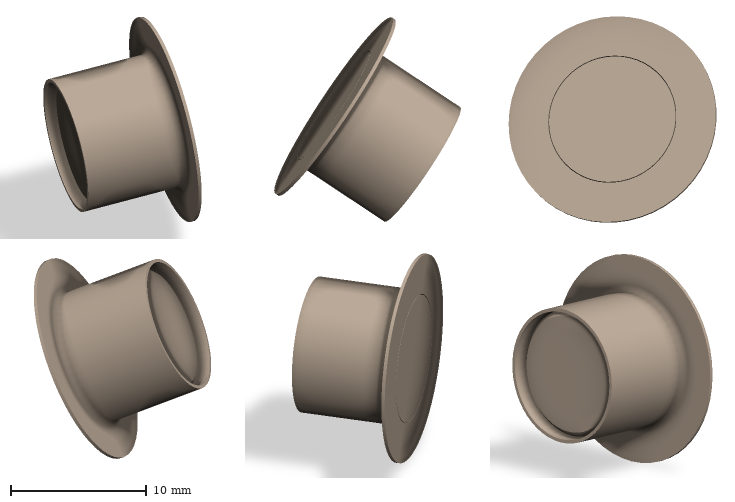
import cadquery as cq

flange_diameter = 15.62
overall_length = 7.92
wall = 0.25
tube_radius = 5.08
bore_radius = tube_radius - wall
root_fillet = 0.5

plug_clearance = 0.06
plug_radius = bore_radius - plug_clearance
plug_recess = 0.8
plug_face_radius = 4.39
plug_taper_length = 0.39

open_end = -overall_length / 2
flange_back = overall_length / 2
flange_front = flange_back - wall


def revolve_about_y(profile):
    """Turn a closed profile, drawn as (radius, y), around the Y axis."""
    return profile.close().revolve(360, (0, 0, 0), (0, 1, 0))


def make_flanged_sleeve():
    """Thin tube with a filleted flange and a straight through bore."""
    flange_radius = flange_diameter / 2
    profile = (
        cq.Workplane("XY")
        .moveTo(bore_radius, open_end)
        .lineTo(tube_radius, open_end)
        .lineTo(tube_radius, flange_front - root_fillet)
        .radiusArc((tube_radius + root_fillet, flange_front), root_fillet)
        .lineTo(flange_radius, flange_front)
        .lineTo(flange_radius, flange_back)
        .lineTo(bore_radius, flange_back)
    )
    return revolve_about_y(profile)


def make_plug():
    """Solid round plug with a conical front edge, flush with the flange back."""
    face = open_end + plug_recess
    profile = (
        cq.Workplane("XY")
        .moveTo(0, face)
        .lineTo(plug_face_radius, face)
        .lineTo(plug_radius, face + plug_taper_length)
        .lineTo(plug_radius, flange_back)
        .lineTo(0, flange_back)
    )
    return revolve_about_y(profile)


sleeve = make_flanged_sleeve()
plug = make_plug()

result = cq.Compound.makeCompound([sleeve.val(), plug.val()])